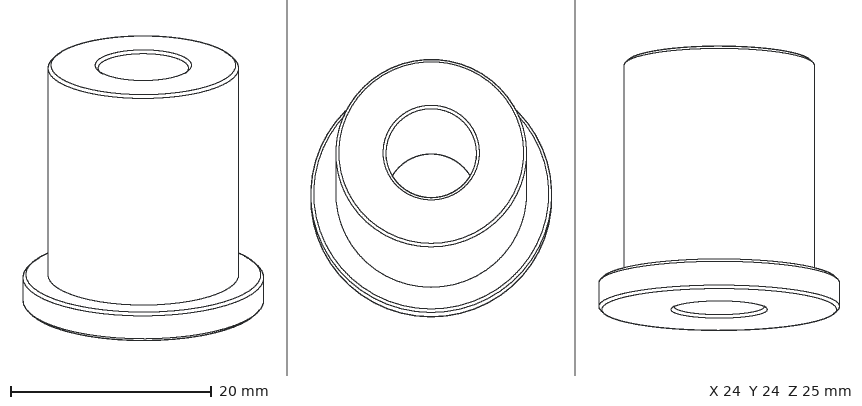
import cadquery as cq

total_height = 25.0
flange_diameter = 24.0
flange_thickness = 3.0
sleeve_diameter = 19.0
bore_diameter = 9.0
edge_chamfer = 0.3


def chamfered_disc(diameter, height):
    """Cylinder standing on the XY plane, both end edges chamfered."""
    disc = cq.Workplane("XY").circle(diameter / 2).extrude(height)
    return disc.faces("<Z or >Z").chamfer(edge_chamfer)


def sleeve():
    """Full-height cylinder, chamfered at its free upper end."""
    body = cq.Workplane("XY").circle(sleeve_diameter / 2).extrude(total_height)
    return body.faces(">Z").chamfer(edge_chamfer)


flange = chamfered_disc(flange_diameter, flange_thickness)
bore = cq.Workplane("XY").circle(bore_diameter / 2).extrude(total_height)
bushing = flange.union(sleeve()).cut(bore)

bore_mouths = bushing.faces("<Z or >Z").edges(cq.selectors.RadiusNthSelector(0))
result = bore_mouths.chamfer(edge_chamfer)